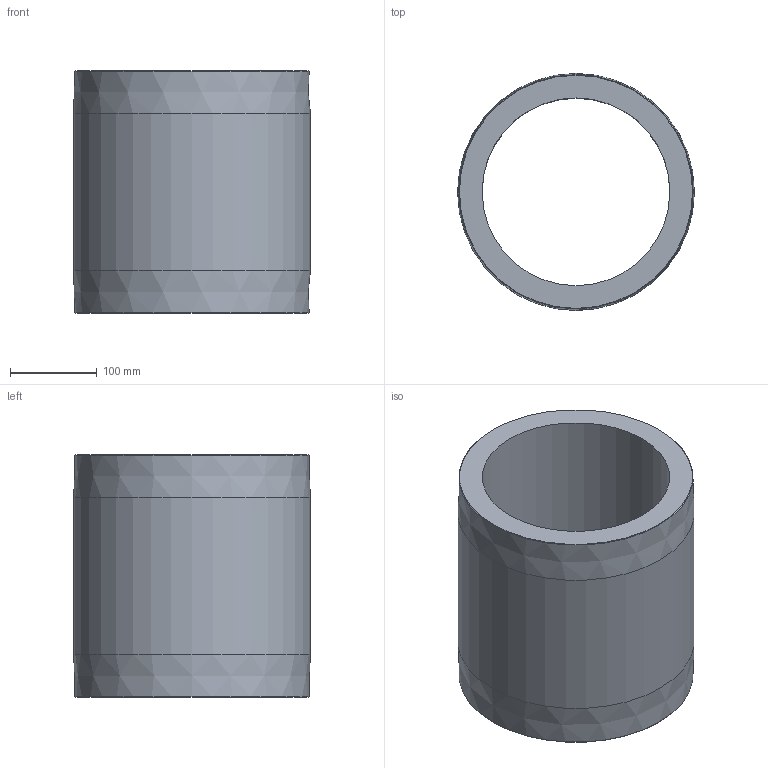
import cadquery as cq

outer_diameter = 273.05
bore_diameter = 216.4
length = 279.4
taper_length = 49.2
taper_drop = 1.5
edge_chamfer = 0.65

outer_radius = outer_diameter / 2
bore_radius = bore_diameter / 2
half_length = length / 2
taper_start = half_length - taper_length
taper_end = half_length - edge_chamfer
taper_end_radius = outer_radius - taper_drop
rim_radius = taper_end_radius - edge_chamfer


def sleeve():
    """Plain-bored ring: straight middle, tapered end bands, bevelled outer rims."""
    wall_profile = (
        cq.Workplane("XZ")
        .moveTo(-bore_radius, -half_length)
        .lineTo(-rim_radius, -half_length)
        .lineTo(-taper_end_radius, -taper_end)
        .lineTo(-outer_radius, -taper_start)
        .lineTo(-outer_radius, taper_start)
        .lineTo(-taper_end_radius, taper_end)
        .lineTo(-rim_radius, half_length)
        .lineTo(-bore_radius, half_length)
        .close()
    )
    return wall_profile.revolve(360, (0, 0, 0), (0, 1, 0))


result = sleeve()